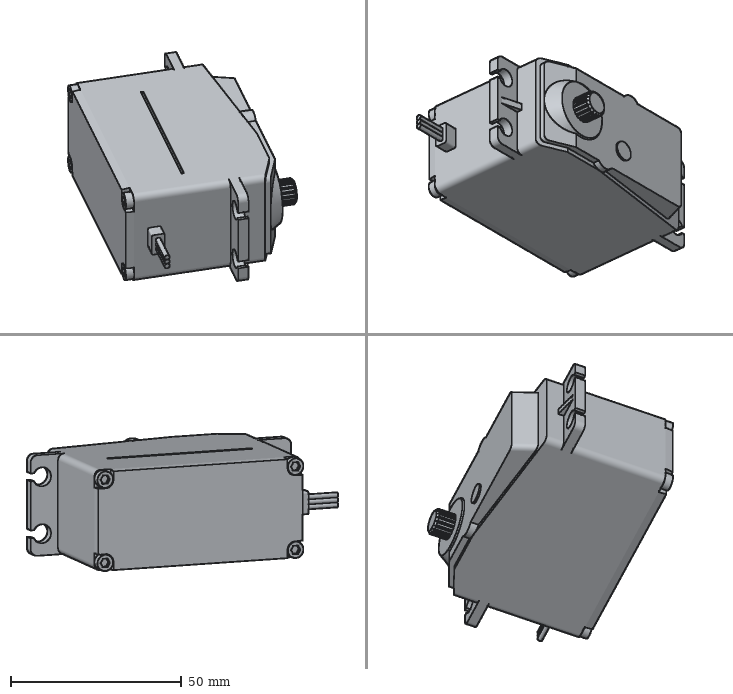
import cadquery as cq
import math


TOTAL_LENGTH = 87.5
CASE_LENGTH = 64.9
CASE_WIDTH = 30.0
CASE_CORNER_RADIUS = 1.9
HALF_LENGTH = CASE_LENGTH / 2
HALF_WIDTH = CASE_WIDTH / 2

TOTAL_HEIGHT = 54.7
PLATE_TOP = 2.45
FLANGE_BOTTOM = 31.8
FLANGE_TOP = 34.9
SHOULDER_LEFT = 40.4
SHOULDER_RIGHT = 42.2
CREST = 46.2
COVER_TOP = 48.3
BOSS_TOP = 48.8

CREST_START_X = 9.0
CREST_END_X = 22.8
ROOF_FALL = (CREST - SHOULDER_RIGHT) / (HALF_LENGTH - CREST_END_X)

FLANGE_LENGTH = 82.1
FLANGE_CORNER_RADIUS = 2.0
MOUNT_HOLE_X = 37.45
MOUNT_HOLE_Z = 8.5
MOUNT_HOLE_RADIUS = 2.8
MOUNT_SLOT_WIDTH = 2.4
GUSSET_TOP = 36.75
GUSSET_TIP_X = 39.2
GUSSET_WIDTH = 2.1

PLATE_INSET = 0.3
SCREW_X = 30.0
SCREW_Z = 12.4
SCREW_HEAD_RADIUS = 2.45
SCREW_POCKET_RADIUS = 2.6
SOCKET_FLATS = 2.5
SOCKET_DEPTH = 1.3

COVER_FOOT_X = -30.2
COVER_TOP_START_X = -24.85
COVER_TOP_END_X = 21.5
COVER_END_X = 31.1
COVER_END_Y = COVER_TOP - ROOF_FALL * (COVER_END_X - COVER_TOP_END_X)
COVER_WIDTH = 27.1
COVER_CORNER_RADIUS = 1.6
UPPER_LUG_X = -2.7
LOWER_LUG_X = 8.6
LUG_RADIUS = 3.6

SHAFT_X = 19.4
SHAFT_RADIUS = 3.9
SHAFT_CHAMFER = 0.7
TOOTH_COUNT = 18
GROOVE_DEPTH = 0.35
LAND_FRACTION = 0.55
BOSS_TOP_RADIUS = 8.8
BOSS_FOOT_RADIUS = COVER_END_X - SHAFT_X
DISC_X = 1.0
DISC_Z = -5.7
DISC_RADIUS = 3.0

CABLE_Y = 8.7
GROMMET_END_X = 36.7
GROMMET_HEIGHT = 4.0
GROMMET_WIDTH = 6.8
GROMMET_FILLET = 0.6
CABLE_END_X = TOTAL_LENGTH - FLANGE_LENGTH / 2
WIRE_RADIUS = 0.8
WIRE_PITCH = 1.5
WIRE_COUNT = 3

STRIPE_START_X = -21.5
STRIPE_END_X = 23.8
STRIPE_Y = 19.6
STRIPE_HEIGHT = 0.7
STRIPE_DEPTH = 0.2

SIDES = (-1, 1)


def plan_at(height):
    """Workplane at a height along Y, drawing in X and Z and extruding down towards -Y."""
    return cq.Workplane("XZ", origin=(0, height, 0))


def side_prism(points, width):
    """Prism of an XY outline, centred on Z."""
    return cq.Workplane("XY").polyline(points).close().extrude(width / 2, both=True)


def make_case():
    """Main body with rounded upright edges and the accent groove."""
    case = side_prism(
        [
            (-HALF_LENGTH, PLATE_TOP),
            (HALF_LENGTH, PLATE_TOP),
            (HALF_LENGTH, SHOULDER_RIGHT),
            (CREST_END_X, CREST),
            (CREST_START_X, CREST),
            (-HALF_LENGTH, SHOULDER_LEFT),
        ],
        CASE_WIDTH,
    )
    case = case.edges("|Y").fillet(CASE_CORNER_RADIUS)
    stripe = cq.Workplane("XY").box(
        STRIPE_END_X - STRIPE_START_X, STRIPE_HEIGHT, STRIPE_DEPTH, centered=(False, True, False)
    )
    return case.cut(stripe.translate((STRIPE_START_X, STRIPE_Y, HALF_WIDTH - STRIPE_DEPTH)))


def make_flange():
    """Mounting flange with open-ended screw holes and a gusset at each end."""
    thickness = FLANGE_TOP - FLANGE_BOTTOM
    flange = plan_at(FLANGE_TOP).rect(FLANGE_LENGTH, CASE_WIDTH).extrude(thickness)
    flange = flange.edges("|Y").fillet(FLANGE_CORNER_RADIUS)
    slot_length = FLANGE_LENGTH / 2 - MOUNT_HOLE_X
    for side_x in SIDES:
        for side_z in SIDES:
            centre = (side_x * MOUNT_HOLE_X, side_z * MOUNT_HOLE_Z)
            slot_centre = (side_x * (MOUNT_HOLE_X + slot_length / 2), side_z * MOUNT_HOLE_Z)
            hole = plan_at(FLANGE_TOP).center(*centre).circle(MOUNT_HOLE_RADIUS).extrude(thickness)
            slot = plan_at(FLANGE_TOP).center(*slot_centre).rect(slot_length, MOUNT_SLOT_WIDTH)
            flange = flange.cut(hole).cut(slot.extrude(thickness))
        gusset = side_prism(
            [
                (side_x * HALF_LENGTH, FLANGE_TOP),
                (side_x * GUSSET_TIP_X, FLANGE_TOP),
                (side_x * HALF_LENGTH, GUSSET_TOP),
            ],
            GUSSET_WIDTH,
        )
        flange = flange.union(gusset)
    return flange


def make_screw_plate():
    """Plate with drafted edges and a socket-head screw sunk in a pocket at each corner."""
    draft = math.degrees(math.atan(PLATE_INSET / PLATE_TOP))
    plate = plan_at(PLATE_TOP).rect(CASE_LENGTH, CASE_WIDTH).extrude(PLATE_TOP, taper=draft)
    pocket_size = 3 * SCREW_POCKET_RADIUS
    pocket_offset = SCREW_POCKET_RADIUS / 2
    for side_x in SIDES:
        for side_z in SIDES:
            centre = (side_x * SCREW_X, side_z * SCREW_Z)
            inner_wall = "<X" if side_x > 0 else ">X"
            inner_edge = "<Z" if side_z > 0 else ">Z"
            pocket = (
                plan_at(PLATE_TOP)
                .center(*centre)
                .center(side_x * pocket_offset, side_z * pocket_offset)
                .rect(pocket_size, pocket_size)
                .extrude(PLATE_TOP)
                .faces(inner_wall)
                .edges(inner_edge)
                .fillet(SCREW_POCKET_RADIUS)
            )
            head = plan_at(PLATE_TOP).center(*centre).circle(SCREW_HEAD_RADIUS).extrude(PLATE_TOP)
            socket = (
                plan_at(SOCKET_DEPTH)
                .center(*centre)
                .polygon(6, SOCKET_FLATS / math.cos(math.pi / 6))
                .extrude(SOCKET_DEPTH)
            )
            plate = plate.cut(pocket).union(head).cut(socket)
    return plate


def make_cover():
    """Raised cover with one rounded screw lug on each long side."""
    cover = side_prism(
        [
            (COVER_FOOT_X, FLANGE_TOP),
            (COVER_END_X, FLANGE_TOP),
            (COVER_END_X, COVER_END_Y),
            (COVER_TOP_END_X, COVER_TOP),
            (COVER_TOP_START_X, COVER_TOP),
        ],
        COVER_WIDTH,
    )
    cover = cover.faces("<X or >X").edges("not |Z").fillet(COVER_CORNER_RADIUS)
    for side_z, lug_x in ((1, UPPER_LUG_X), (-1, LOWER_LUG_X)):
        lug = (
            plan_at(COVER_TOP)
            .center(lug_x, side_z * (HALF_WIDTH - LUG_RADIUS))
            .circle(LUG_RADIUS)
            .extrude(COVER_TOP - FLANGE_TOP)
        )
        cover = cover.union(lug)
    return cover


def make_shaft():
    """Splined shaft on its conical boss, with the small disc."""
    boss = cq.Solid.makeCone(
        BOSS_FOOT_RADIUS,
        BOSS_TOP_RADIUS,
        BOSS_TOP - COVER_END_Y,
        cq.Vector(SHAFT_X, COVER_END_Y, 0),
        cq.Vector(0, 1, 0),
    )
    shaft = (
        plan_at(TOTAL_HEIGHT)
        .center(SHAFT_X, 0)
        .circle(SHAFT_RADIUS)
        .extrude(TOTAL_HEIGHT - BOSS_TOP)
        .faces(">Y")
        .chamfer(SHAFT_CHAMFER)
    )
    pitch = 2 * math.pi / TOOTH_COUNT
    half_mouth = SHAFT_RADIUS * pitch * (1 - LAND_FRACTION) / 2
    groove = (
        plan_at(TOTAL_HEIGHT)
        .center(SHAFT_X, 0)
        .polyline(
            [
                (SHAFT_RADIUS - GROOVE_DEPTH, 0),
                (SHAFT_RADIUS, -half_mouth),
                (SHAFT_RADIUS + GROOVE_DEPTH, -half_mouth),
                (SHAFT_RADIUS + GROOVE_DEPTH, half_mouth),
                (SHAFT_RADIUS, half_mouth),
            ]
        )
        .close()
        .extrude(TOTAL_HEIGHT - BOSS_TOP)
    )
    for tooth in range(TOOTH_COUNT):
        angle = math.degrees(pitch * (tooth + 0.5))
        shaft = shaft.cut(groove.rotate((SHAFT_X, 0, 0), (SHAFT_X, 1, 0), angle))
    disc = plan_at(BOSS_TOP).center(DISC_X, DISC_Z).circle(DISC_RADIUS).extrude(BOSS_TOP - CREST)
    return shaft.union(cq.Workplane(boss)).union(disc)


def make_cable():
    """Grommet and the row of wires leaving it."""
    grommet_length = GROMMET_END_X - HALF_LENGTH
    cable = (
        cq.Workplane("YZ", origin=(HALF_LENGTH, CABLE_Y, 0))
        .rect(GROMMET_HEIGHT, GROMMET_WIDTH)
        .extrude(grommet_length)
        .edges("|X")
        .fillet(GROMMET_FILLET)
    )
    for wire in range(WIRE_COUNT):
        wire_z = WIRE_PITCH * (wire - (WIRE_COUNT - 1) / 2)
        strand = cq.Workplane("YZ", origin=(HALF_LENGTH, CABLE_Y, wire_z)).circle(WIRE_RADIUS)
        cable = cable.union(strand.extrude(CABLE_END_X - HALF_LENGTH))
    return cable


result = (
    make_case()
    .union(make_flange())
    .union(make_screw_plate())
    .union(make_cover())
    .union(make_shaft())
    .union(make_cable())
)